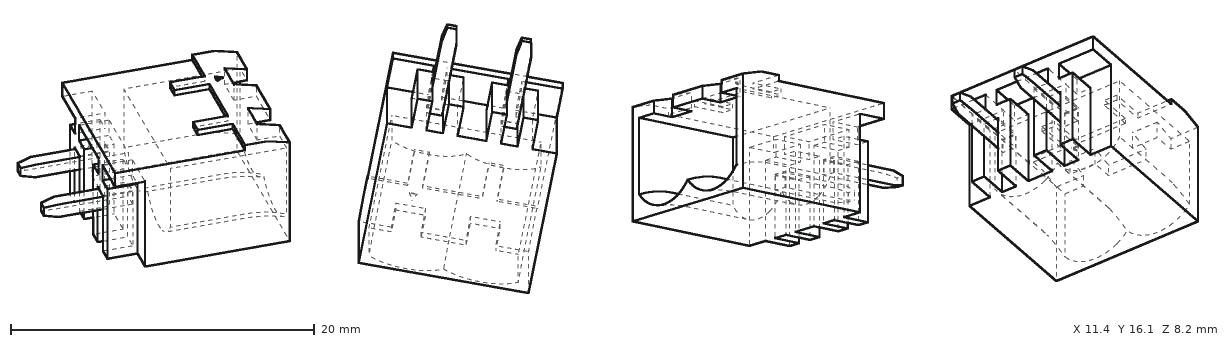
import cadquery as cq
import math

total_length = 16.1
width = 11.4
height = 8.2

pin_pitch = 5.0
pin_positions = [width / 2 - pin_pitch / 2, width / 2 + pin_pitch / 2]

housing_length = 12.09
housing_front = total_length - housing_length
deck_z = 7.8

back_bevel_length = 1.56
band_front = total_length - 3.09
finger_front = total_length - 5.5
finger_width = 1.0
crest_y = total_length - back_bevel_length

recess_depth = 2.08
overhang_z = 6.71
support_width = 3.09
support_top = 5.5
neck_width = 0.89
slot_width = 1.11
slot_top = 4.35

pin_size = 1.0
pin_z = 3.75
pin_tip_size = 0.63
pin_tip_length = 0.97

cavity_depth = 8.05
cavity_start = total_length - cavity_depth
cavity_roof = 6.92
trough_radius = 2.9
flare_radius = 11.27
flare_angle = 14.0

notch_width = 2.0

arrow_base_y = total_length - 2.46
arrow_width = 0.5
arrow_length = 0.47
arrow_depth = 0.1


def block(x_range, y_range, z_range):
    """Box given by its two limits along each axis."""
    corner = (x_range[0], y_range[0], z_range[0])
    size = (x_range[1] - x_range[0], y_range[1] - y_range[0], z_range[1] - z_range[0])
    return cq.Workplane("XY").box(*size, centered=False).translate(corner)


def around(centre, size):
    """Limits of a span of the given size about its centre."""
    return (centre - size / 2, centre + size / 2)


def make_housing():
    """Side profile extruded over the full width: deck, raised band and sloped back edge."""
    profile = [
        (housing_front, 0),
        (total_length, 0),
        (total_length, deck_z),
        (crest_y, height),
        (band_front, height),
        (band_front, deck_z),
        (housing_front, deck_z),
    ]
    housing = cq.Workplane("YZ").polyline(profile).close().extrude(width)
    recess = block((0, width), (housing_front, housing_front + recess_depth), (0, overhang_z))
    return housing.cut(recess)


def make_finger(x):
    """Raised finger running forward from the band."""
    return block(around(x, finger_width), (finger_front, band_front), (deck_z, height))


def make_support(x):
    """Forked pin support, joined to the overhang by a narrow neck."""
    depth_range = (housing_front, housing_front + recess_depth)
    support = block(around(x, support_width), depth_range, (0, support_top))
    neck = block(around(x, neck_width), depth_range, (support_top, overhang_z))
    slot = block(around(x, slot_width), depth_range, (0, slot_top))
    return support.union(neck).cut(slot)


def make_pin(x):
    """Square pin with a tapered tip, rooted in the back wall of the recess."""
    pin_root = housing_front + recess_depth
    shaft = block(around(x, pin_size), (pin_tip_length, pin_root), around(pin_z, pin_size))
    tip = (
        cq.Workplane("XZ", origin=(x, 0, pin_z))
        .rect(pin_tip_size, pin_tip_size)
        .workplane(offset=-pin_tip_length)
        .rect(pin_size, pin_size)
        .loft(ruled=True)
    )
    return shaft.union(tip)


def make_trough(x):
    """Lower half of a round bore about the pin axis, flared at the mouth and one pitch wide."""
    angle = math.radians(flare_angle)
    flare_start = total_length - flare_radius * math.sin(angle)
    middle = (
        trough_radius + flare_radius * (1 - math.cos(angle / 2)),
        flare_start + flare_radius * math.sin(angle / 2),
    )
    mouth_radius = trough_radius + flare_radius * (1 - math.cos(angle))
    bore = (
        cq.Workplane("XY")
        .moveTo(0, cavity_start)
        .lineTo(trough_radius, cavity_start)
        .lineTo(trough_radius, flare_start)
        .threePointArc(middle, (mouth_radius, total_length))
        .lineTo(0, total_length)
        .close()
        .revolve(360, (0, 0, 0), (0, 1, 0))
        .translate((x, 0, pin_z))
    )
    lower_half = block(around(x, pin_pitch), (cavity_start, total_length), (0, pin_z))
    return bore.intersect(lower_half)


def make_cavity():
    """Cutter for the mating cavity: a box above the pin axes with the troughs below."""
    cavity_width = pin_pitch * len(pin_positions)
    cavity = block(
        around(width / 2, cavity_width), (cavity_start, total_length), (pin_z, cavity_roof)
    )
    for x in pin_positions:
        cavity = cavity.union(make_trough(x))
    return cavity


def make_notch(x):
    """Cutter for a notch through the cavity roof, from the crest to the back face."""
    return block(around(x, notch_width), (crest_y, total_length), (pin_z, height))


def make_arrow(x):
    """Shallow triangular recess pointing to the back."""
    outline = [
        (x - arrow_width / 2, arrow_base_y),
        (x + arrow_width / 2, arrow_base_y),
        (x, arrow_base_y + arrow_length),
    ]
    floor = cq.Workplane("XY", origin=(0, 0, height - arrow_depth))
    return floor.polyline(outline).close().extrude(arrow_depth)


result = make_housing().cut(make_cavity())
for pin_x in pin_positions:
    result = result.union(make_finger(pin_x))
    result = result.union(make_support(pin_x))
    result = result.union(make_pin(pin_x))
    result = result.cut(make_notch(pin_x))
result = result.cut(make_arrow(pin_positions[0]))